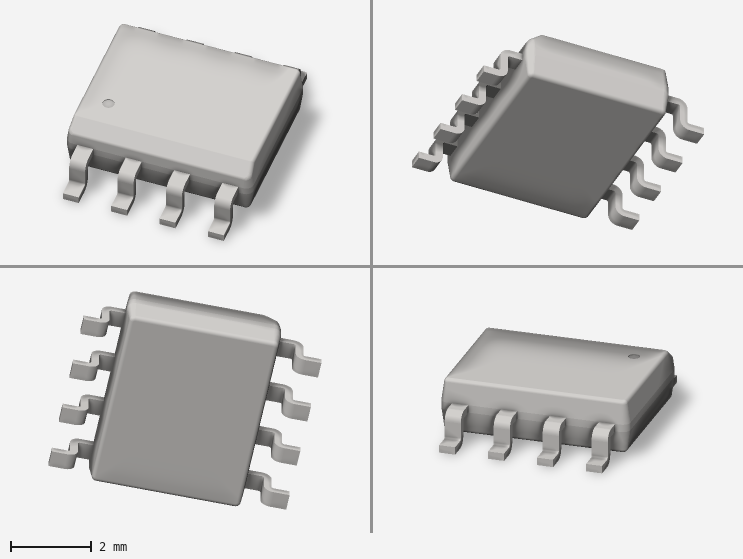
import cadquery as cq
import math

SPAN = 6.0
HEIGHT = 1.5

BODY_X = 4.9
BODY_Y = 3.9
STANDOFF = 0.1
CORNER_RADIUS = 0.2
DRAFT_ANGLE = 8.0
DRAFT_SLOPE = math.tan(math.radians(DRAFT_ANGLE))
EDGE_RADIUS = 0.1

BEVEL_TOP_Y = -1.525
BEVEL_DROP = 0.31

MARK_X = -1.685
MARK_Y = -0.895
MARK_RADIUS = 0.15
MARK_DEPTH = 0.03

LEADS_PER_SIDE = 4
LEAD_PITCH = 1.27
LEAD_WIDTH = 0.42
LEAD_THICKNESS = 0.2
LEAD_TOP = 0.9
LEAD_SHANK_Y = 2.545
INNER_BEND = 0.055
OUTER_BEND = INNER_BEND + LEAD_THICKNESS
LEAD_EMBED = 0.3

BAND_BOTTOM = LEAD_TOP - LEAD_THICKNESS


def body_slab(base_z, height, draft=0.0):
    """Rounded rectangular slab; a negative height extrudes downwards."""
    outline = cq.Sketch().rect(BODY_X, BODY_Y).vertices().fillet(CORNER_RADIUS)
    return cq.Workplane("XY", origin=(0, 0, base_z)).placeSketch(outline).extrude(height, taper=draft)


def bevel_cutter():
    """Wedge that removes the top edge on the -Y side."""
    side_z = HEIGHT - BEVEL_DROP
    side_y = -BODY_Y / 2 + (side_z - LEAD_TOP) * DRAFT_SLOPE
    slope = BEVEL_DROP / (BEVEL_TOP_Y - side_y)
    reach_y = -BODY_Y / 2 - CORNER_RADIUS
    reach_z = HEIGHT - slope * (BEVEL_TOP_Y - reach_y)
    return (
        cq.Workplane("YZ")
        .polyline([(BEVEL_TOP_Y, HEIGHT), (reach_y, reach_z), (reach_y, HEIGHT)])
        .close()
        .extrude(BODY_X, both=True)
    )


def body():
    """Body with drafted halves, a bevelled edge, rounded rims and the pin 1 mark."""
    upper = body_slab(LEAD_TOP, HEIGHT - LEAD_TOP, DRAFT_ANGLE).cut(bevel_cutter())
    bevel_region = cq.selectors.BoxSelector(
        (-BODY_X, -BODY_Y, HEIGHT - BEVEL_DROP),
        (BODY_X, BEVEL_TOP_Y, HEIGHT),
    )
    bevel_edges = upper.faces(bevel_region).edges()
    upper = upper.faces(">Z").edges().add(bevel_edges).fillet(EDGE_RADIUS)

    lower = body_slab(BAND_BOTTOM, STANDOFF - BAND_BOTTOM, DRAFT_ANGLE)
    lower = lower.faces("<Z").edges().fillet(EDGE_RADIUS)

    band = body_slab(BAND_BOTTOM, LEAD_THICKNESS)
    mark = (
        cq.Workplane("XY", origin=(MARK_X, MARK_Y, HEIGHT))
        .circle(MARK_RADIUS)
        .extrude(-MARK_DEPTH)
    )
    return band.union(upper).union(lower).cut(mark)


def lead(center_x):
    """Lead on the +Y side: arm out of the body, shank down, foot outwards."""
    root_y = BODY_Y / 2 - LEAD_EMBED
    tip_y = SPAN / 2
    shank_inner_y = LEAD_SHANK_Y - LEAD_THICKNESS
    arm_end_y = LEAD_SHANK_Y - OUTER_BEND
    foot_start_y = LEAD_SHANK_Y + INNER_BEND
    shank_top_z = LEAD_TOP - OUTER_BEND
    shank_bottom_z = OUTER_BEND
    return (
        cq.Workplane("YZ", origin=(center_x, 0, 0))
        .moveTo(root_y, LEAD_TOP)
        .lineTo(arm_end_y, LEAD_TOP)
        .radiusArc((LEAD_SHANK_Y, shank_top_z), OUTER_BEND)
        .lineTo(LEAD_SHANK_Y, shank_bottom_z)
        .radiusArc((foot_start_y, LEAD_THICKNESS), -INNER_BEND)
        .lineTo(tip_y, LEAD_THICKNESS)
        .lineTo(tip_y, 0)
        .lineTo(foot_start_y, 0)
        .radiusArc((shank_inner_y, shank_bottom_z), OUTER_BEND)
        .lineTo(shank_inner_y, shank_top_z)
        .radiusArc((arm_end_y, BAND_BOTTOM), -INNER_BEND)
        .lineTo(root_y, BAND_BOTTOM)
        .close()
        .extrude(LEAD_WIDTH / 2, both=True)
    )


result = body()
for index in range(LEADS_PER_SIDE):
    lead_x = (index - (LEADS_PER_SIDE - 1) / 2) * LEAD_PITCH
    back_lead = lead(lead_x)
    result = result.union(back_lead).union(back_lead.mirror("XZ"))